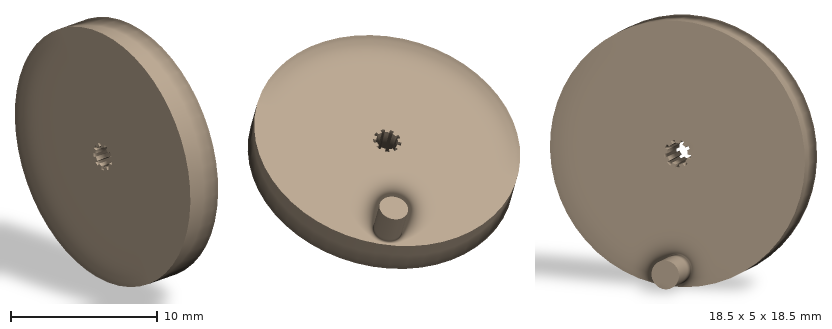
import cadquery as cq
import math

disc_diameter = 18.5
total_depth = 5.0
disc_thickness = total_depth / 2

pin_diameter = 2.0
pin_offset = 4 * pin_diameter
pin_fillet = 0.1

bore_diameter = 1.5
spline_diameter = 1.96
spline_count = 9
slot_angle = 18.0


def cylinder_along_y(diameter, start, end, z=0.0):
    """Solid cylinder from Y = start to Y = end, centred at X = 0 and height z."""
    origin = cq.Vector(0, start, z)
    direction = cq.Vector(0, 1, 0)
    return cq.Workplane(cq.Solid.makeCylinder(diameter / 2, end - start, origin, direction))


def spline_slot():
    """Wedge with radial walls and an arc tip, pointing down from the disc axis."""
    tip_radius = spline_diameter / 2
    half_angle = math.radians(slot_angle / 2)
    corner_x = tip_radius * math.sin(half_angle)
    corner_z = -tip_radius * math.cos(half_angle)
    return (
        cq.Workplane("XZ")
        .lineTo(-corner_x, corner_z)
        .threePointArc((0, -tip_radius), (corner_x, corner_z))
        .close()
        .extrude(-disc_thickness)
    )


def splined_bore():
    """Cutting body: a round bore with evenly spaced slots, the first one pointing down."""
    bore = cylinder_along_y(bore_diameter, 0, disc_thickness)
    slot = spline_slot()
    for index in range(spline_count):
        angle = index * 360 / spline_count
        bore = bore.union(slot.rotate((0, 0, 0), (0, 1, 0), angle))
    return bore


disc = cylinder_along_y(disc_diameter, 0, disc_thickness)
pin = cylinder_along_y(pin_diameter, disc_thickness, total_depth, -pin_offset)

pin_root = cq.selectors.RadiusNthSelector(0)
body = disc.union(pin)
body = body.faces(">Y[-2]").edges(pin_root).fillet(pin_fillet)

result = body.cut(splined_bore())